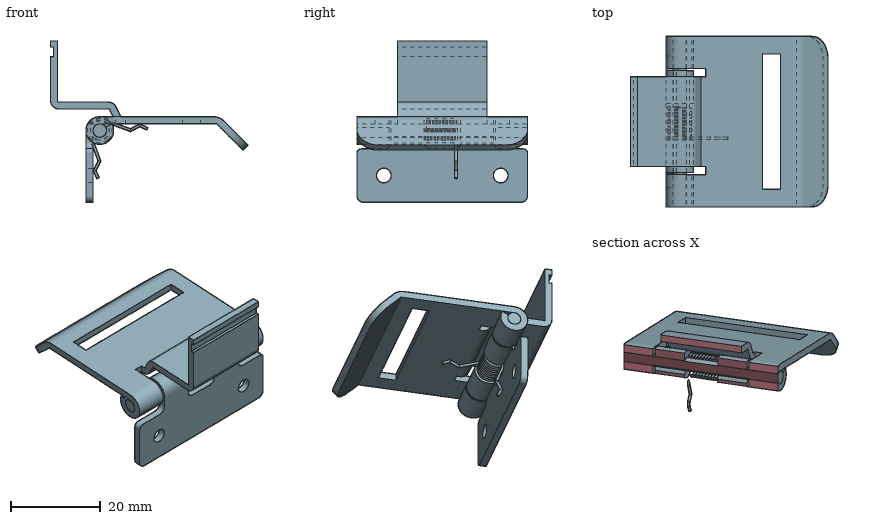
import cadquery as cq
import math


width = 38.0
sheet = 1.6
pin_radius = 1.5
curl_radius = pin_radius + sheet
curl_end_angle = 28.0

lip_bend_x = 26.65
lip_angle = 45.0
lip_end_x = 33.0
lip_bend_radius = 3.2
lip_corner_radius = 5.0
strap_slot_x = 20.4
strap_slot_width = 4.0
strap_slot_length = 30.0
knuckle_gap_half = 11.8
knuckle_gap_end_x = 5.75

bracket_width = 20.0
bracket_left_x = -11.0
bracket_top_z = 19.95
bracket_shelf_z = 4.75
bracket_foot_x = 4.7
bracket_slope_angle = 64.0
bracket_bend_radius = 2.0
groove_depth = 0.65
groove_upper_drop = 1.4
groove_lower_drop = 3.5

lower_leaf_end = 16.0
notch_depth_end = 4.05
spring_notch_half = 4.05
knuckle_outer_y = 11.35
notch_corner_radius = 1.5
shoulder_corner_radius = 1.0
bottom_corner_radius = 1.5
screw_hole_diameter = 3.2
screw_hole_spacing = 26.0
screw_hole_distance = 10.0

wire_radius = 0.32
coil_radius = 2.43
coil_pitch = 0.755
coil_full_turns = 9
coil_start_y = 3.1
leg_angle = 20.3
leg_bend_reach = 6.8
leg_crest_reach = 8.9
leg_tip_reach = 10.6
leg_crest_height = 1.14
leg_tip_height = 0.38

cutter_margin = 1.0


def polar(radius, degrees):
    """Point of the XZ plane at a distance and an angle from the hinge axis."""
    angle = math.radians(degrees)
    return (radius * math.cos(angle), radius * math.sin(angle))


def span(x_from, x_to, y_from, y_to):
    """Block between the given X and Y limits, taller than a curl."""
    height = 2 * (curl_radius + cutter_margin)
    block = cq.Workplane("XY").box(x_to - x_from, y_to - y_from, height)
    return block.translate(((x_from + x_to) / 2, (y_from + y_to) / 2, 0))


def curled_plate(top_points, underside_points):
    """Level plate whose edge curls round the pin, full width, with the given end outline."""
    profile = (
        cq.Workplane("XZ")
        .moveTo(*polar(pin_radius, 90))
        .threePointArc(polar(pin_radius, 180), polar(pin_radius, curl_end_angle))
        .lineTo(*polar(curl_radius, curl_end_angle))
        .threePointArc(polar(curl_radius, 180 + curl_end_angle), polar(curl_radius, 90))
    )
    for point in top_points + underside_points:
        profile = profile.lineTo(*point)
    return profile.close().extrude(width / 2, both=True)


def fillet_bend(body, x, z, radius):
    """Round the bend edge that lies along Y through the given point."""
    return body.edges("|Y").edges(cq.NearestToPointSelector((x, 0, z))).fillet(radius)


def make_bracket():
    """Foot in the plane of the plate, slope, level shelf and upright with a groove."""
    slope = math.radians(bracket_slope_angle)
    shelf_top_z = bracket_shelf_z + sheet
    slope_width = sheet / math.sin(slope)

    def slope_x(z):
        return bracket_foot_x - (z - curl_radius) / math.tan(slope)

    upper_bend = (slope_x(shelf_top_z), shelf_top_z)
    lower_bend = (slope_x(pin_radius) - slope_width, pin_radius)
    outer_bend = (bracket_left_x, bracket_shelf_z)
    groove_x = bracket_left_x + groove_depth
    groove_upper_z = bracket_top_z - groove_upper_drop
    groove_lower_z = bracket_top_z - groove_lower_drop
    upright_right_x = bracket_left_x + sheet

    bracket = (
        cq.Workplane("XZ")
        .polyline([
            (knuckle_gap_end_x, curl_radius),
            (bracket_foot_x, curl_radius),
            upper_bend,
            (upright_right_x, shelf_top_z),
            (upright_right_x, bracket_top_z),
            (bracket_left_x, bracket_top_z),
            (bracket_left_x, groove_upper_z),
            (groove_x, groove_upper_z),
            (groove_x, groove_lower_z),
            (bracket_left_x, groove_lower_z),
            outer_bend,
            (slope_x(bracket_shelf_z) - slope_width, bracket_shelf_z),
            lower_bend,
            (knuckle_gap_end_x, pin_radius),
        ])
        .close()
        .extrude(bracket_width / 2, both=True)
    )
    for bend in (upper_bend, lower_bend, outer_bend):
        bracket = fillet_bend(bracket, *bend, bracket_bend_radius)
    return bracket


def make_upper_leaf():
    slope = math.radians(lip_angle)
    tip_z = curl_radius - (lip_end_x - lip_bend_x) * math.tan(slope)
    inner_bend_x = lip_bend_x - sheet * math.tan(slope / 2)
    leaf = curled_plate(
        [(lip_bend_x, curl_radius), (lip_end_x, tip_z)],
        [
            (lip_end_x - sheet * math.sin(slope), tip_z - sheet * math.cos(slope)),
            (inner_bend_x, pin_radius),
        ],
    )
    leaf = fillet_bend(leaf, lip_bend_x, curl_radius, lip_bend_radius)

    lip_normal = cq.Vector(math.sin(slope), 0, math.cos(slope))
    leaf = leaf.edges(cq.selectors.ParallelDirSelector(lip_normal)).fillet(lip_corner_radius)

    slot_half = strap_slot_width / 2
    leaf = leaf.cut(span(
        strap_slot_x - slot_half,
        strap_slot_x + slot_half,
        -strap_slot_length / 2,
        strap_slot_length / 2,
    ))
    leaf = leaf.cut(span(
        -curl_radius - cutter_margin, knuckle_gap_end_x, -knuckle_gap_half, knuckle_gap_half
    ))
    return leaf.union(make_bracket())


def make_lower_leaf():
    """Made level like the upper leaf, then turned over so that it hangs down."""
    leaf = curled_plate([(lower_leaf_end, curl_radius)], [(lower_leaf_end, pin_radius)])

    notch_start = -curl_radius - cutter_margin
    side_limit = width / 2 + cutter_margin
    spring_notch = span(notch_start, notch_depth_end, -spring_notch_half, spring_notch_half)
    left_notch = span(notch_start, notch_depth_end, knuckle_outer_y, side_limit)
    right_notch = span(notch_start, notch_depth_end, -side_limit, -knuckle_outer_y)
    leaf = leaf.cut(spring_notch.edges("|Z and >X").fillet(notch_corner_radius))
    leaf = leaf.cut(left_notch.edges("|Z and >X and <Y").fillet(notch_corner_radius))
    leaf = leaf.cut(right_notch.edges("|Z and >X and >Y").fillet(notch_corner_radius))

    for side in (">Y", "<Y"):
        leaf = leaf.faces(side).edges("|Z and <X").fillet(shoulder_corner_radius)
        leaf = leaf.faces(side).edges("|Z and >X").fillet(bottom_corner_radius)

    holes = (
        cq.Workplane("XY")
        .pushPoints([(screw_hole_distance, y * screw_hole_spacing / 2) for y in (-1, 1)])
        .circle(screw_hole_diameter / 2)
        .extrude(curl_radius + cutter_margin)
    )
    return hang_down(leaf.cut(holes))


def hang_down(body):
    """Half turn about the line midway between the two leaves: X becomes -Z and Z becomes -X."""
    return body.rotate((0, 0, 0), (1, 0, -1), 180)


def make_pin():
    return cq.Workplane("XZ").circle(pin_radius).extrude(width / 2, both=True)


def make_spring_leg(y):
    """Leg along the upper leaf: it leaves the coil on a tangent, then zigzags to its tip."""
    start_x, start_z = polar(coil_radius, 90 - leg_angle)
    slope = math.tan(math.radians(leg_angle))
    bend_z = start_z - (leg_bend_reach - start_x) * slope
    start = cq.Vector(start_x, y, start_z)
    path = cq.Workplane("XY").polyline([
        start.toTuple(),
        (leg_bend_reach, y, bend_z),
        (leg_crest_reach, y, leg_crest_height),
        (leg_tip_reach, y, leg_tip_height),
    ])
    across = cq.Plane(start, xDir=(0, 1, 0), normal=(1, 0, -slope))
    return cq.Workplane(across).circle(wire_radius).sweep(path, transition="right")


def make_spring():
    """Coil from the lower leg to the upper one, closed by a level arc into the upper leg."""
    upper_leg_angle = 90 - leg_angle
    lower_leg_angle = 180 + leg_angle
    coil_length = coil_full_turns * coil_pitch
    coil_end_y = coil_start_y - coil_length

    helix = cq.Wire.makeHelix(coil_pitch, coil_length, coil_radius, lefthand=True)
    coil = (
        cq.Workplane("XZ", origin=(coil_radius, 0, 0))
        .circle(wire_radius)
        .sweep(cq.Workplane(helix), isFrenet=True)
        .rotate((0, 0, 0), (1, 0, 0), 90)
        .rotate((0, 0, 0), (0, 1, 0), -lower_leg_angle)
        .translate((0, coil_start_y, 0))
    )
    closing_arc = (
        cq.Workplane("XY", origin=(0, coil_end_y, 0))
        .center(coil_radius, 0)
        .circle(wire_radius)
        .revolve(lower_leg_angle - upper_leg_angle, (-coil_radius, 0), (-coil_radius, 1))
        .rotate((0, 0, 0), (0, 1, 0), -lower_leg_angle)
    )
    upper_leg = make_spring_leg(coil_end_y)
    lower_leg = hang_down(make_spring_leg(-coil_start_y))
    return coil.union(closing_arc).union(upper_leg).union(lower_leg)


upper_leaf = make_upper_leaf()
lower_leaf = make_lower_leaf()
pin = make_pin()
spring = make_spring()

result = cq.Compound.makeCompound([
    upper_leaf.solids().val(),
    lower_leaf.solids().val(),
    pin.val(),
    spring.solids().val(),
])